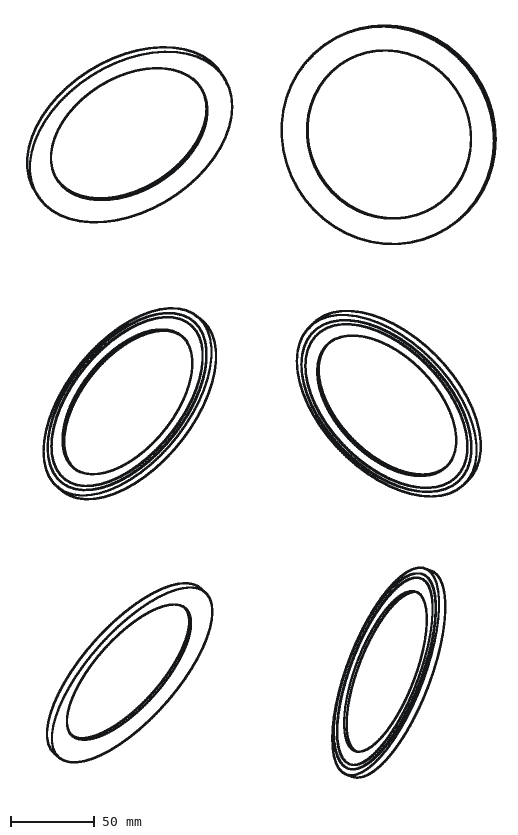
import cadquery as cq

outer_diameter = 132.0
bore_diameter = 102.0
ring_thickness = 4.4
bore_wall_thickness = 1.8

bead_height = 1.5
bead_side_height = 0.4
bead_mean_diameter = 121.8
bead_width = 2.8

cone_rise = 0.16

outer_radius = outer_diameter / 2
bore_radius = bore_diameter / 2
bead_mean_radius = bead_mean_diameter / 2
bead_inner_radius = bead_mean_radius - bead_width / 2
bead_outer_radius = bead_mean_radius + bead_width / 2

face_x = bead_height
back_x = face_x + ring_thickness
bead_shoulder_x = face_x - bead_side_height
bore_face_x = face_x - cone_rise
bore_back_x = bore_face_x + bore_wall_thickness

section = (
    cq.Workplane("XY")
    .moveTo(bore_face_x, bore_radius)
    .lineTo(face_x, bead_inner_radius)
    .lineTo(bead_shoulder_x, bead_inner_radius)
    .threePointArc((0, bead_mean_radius), (bead_shoulder_x, bead_outer_radius))
    .lineTo(face_x, bead_outer_radius)
    .lineTo(face_x, outer_radius)
    .lineTo(back_x, outer_radius)
    .lineTo(back_x, bead_outer_radius)
    .lineTo(bore_back_x, bore_radius)
    .close()
)
result = section.revolve(360, (0, 0, 0), (1, 0, 0))